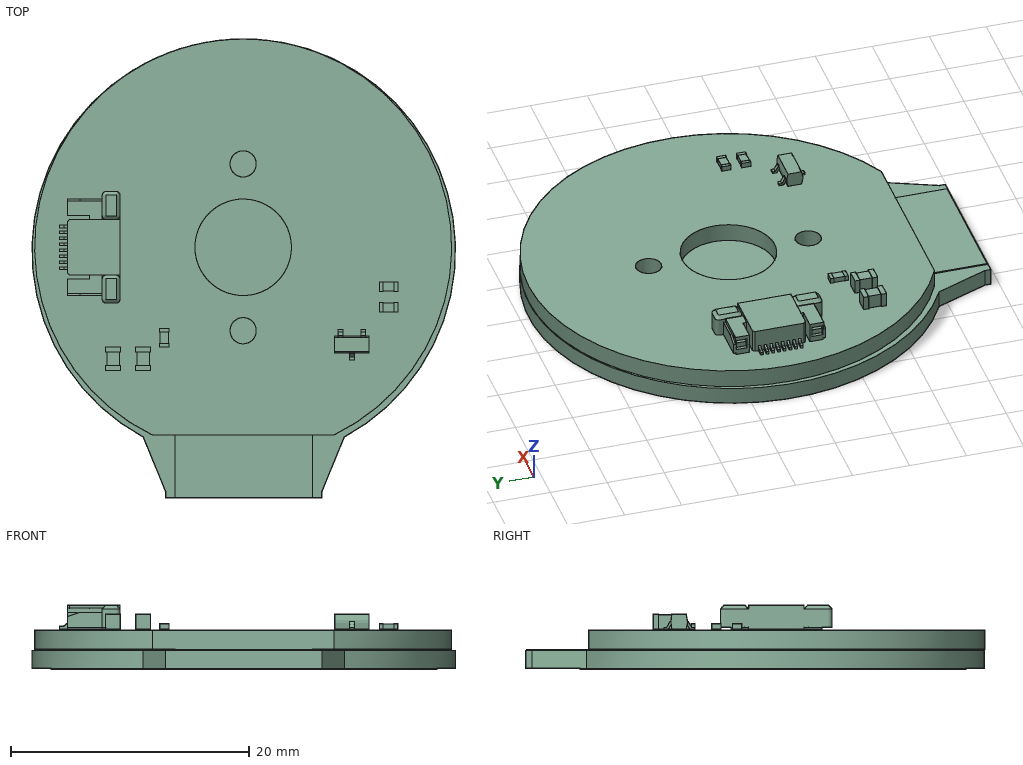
import cadquery as cq
import math

WINDOW_THICKNESS = 0.1
DISPLAY_THICKNESS = 1.5
STRIP_THICKNESS = 0.1
BOARD_THICKNESS = 1.6

DISPLAY_Z = WINDOW_THICKNESS
DISPLAY_TOP = DISPLAY_Z + DISPLAY_THICKNESS
BOARD_Z = DISPLAY_TOP + STRIP_THICKNESS
BOARD_TOP = BOARD_Z + BOARD_THICKNESS
MOUNTING_GAP = 0.1
PART_Z = BOARD_TOP + MOUNTING_GAP

DISPLAY_RADIUS = 35.56 / 2
BOARD_RADIUS = 17.5
DISPLAY_Y = BOARD_RADIUS - DISPLAY_RADIUS
DISPLAY_LENGTH = 38.54
TAB_FRONT = BOARD_RADIUS - DISPLAY_LENGTH
TAB_HALF_WIDTH = 6.56
TAB_ROOT_HALF_WIDTH = 8.44
TAB_STRAIGHT = 0.53
STRIP_WIDTH = 11.52
STRIP_SETBACK = 0.06
WINDOW_DIAMETER = 32.4

BOARD_X = -0.05
BOARD_FLAT_Y = -15.75
CENTRE_HOLE_DIAMETER = 8.1
MOUNT_HOLE_DIAMETER = 2.2
MOUNT_HOLE_SPACING = 14.0

CAPACITOR = (2.0, 1.25, 1.25, 0.45, 0.1)
RESISTOR = (1.55, 0.8, 0.45, 0.3, 0.03)
CAPACITOR_Y = -9.35
CAPACITOR_XS = (-10.97, -8.44)
SINGLE_RESISTOR_XY = (-6.67, -7.6)
PAIRED_RESISTOR_X = 12.15
PAIRED_RESISTOR_YS = (-3.3, -5.04)

TRANSISTOR_XY = (9.08, -8.16)
TRANSISTOR_LENGTH = 2.9
TRANSISTOR_WIDTH = 1.4
TRANSISTOR_HEIGHT = 1.25
TRANSISTOR_TOP_DRAFT = 0.1
TRANSISTOR_WAIST_BOTTOM = 0.5
TRANSISTOR_WAIST_TOP = 0.73
PIN_OFFSET = 0.95
PIN_WIDTH = 0.4
PIN_THICKNESS = 0.15
PIN_REACH = 1.28
PIN_KNEE = 1.05
PIN_SHOULDER = 0.75

CONNECTOR_BACK = -14.8
CONNECTOR_LENGTH = 4.42
CONNECTOR_HEIGHT = 2.0
CORE_HALF_WIDTH = 2.33
CORE_CORNER_CHAMFER = 0.18
LUG_LENGTH = 1.5
LUG_OUTER_Y = 4.69
LUG_CORNER_RADIUS = 0.35
LUG_CHAMFER = 0.3
LUG_GROUND_GAP = 0.15
WING_OUTER_Y = 4.04
WING_TOP_OUTER_Y = 3.87
WING_HEIGHT = 1.75
WING_LEDGE_HEIGHT = 1.4
WING_FOOT_INSET = 0.22
WING_FOOT_HEIGHT = 0.15
WING_RAMP_LENGTH = 1.05
WING_RAMP_DROP = 0.35
SLIT_OUTER_Y = 2.65
SLIT_LENGTH = 1.85
POCKET_INNER_Y = 2.85
POCKET_OUTER_Y = 3.8
POCKET_BOTTOM = 0.5
POCKET_STEP = 0.95
POCKET_TOP = 1.4
POCKET_DEPTH = 0.8
POCKET_STEP_DEPTH = 0.3
LEAD_COUNT = 8
LEAD_PITCH = 0.5
LEAD_WIDTH = 0.22
LEAD_REACH = 0.68
LEAD_FOOT = 0.38
LEAD_FOOT_HEIGHT = 0.25
LEAD_TOP = 0.5


def box(x_range, y_range, z_range):
    """Box between the given limits; the order of each pair does not matter."""
    spans = [sorted(limits) for limits in (x_range, y_range, z_range)]
    sizes = [high - low for low, high in spans]
    corner = tuple(low for low, high in spans)
    return cq.Workplane("XY").box(*sizes, centered=False).translate(corner)


def make_window():
    """Thin round window on the underside of the display."""
    return (
        cq.Workplane("XY")
        .center(0, DISPLAY_Y)
        .circle(WINDOW_DIAMETER / 2)
        .extrude(WINDOW_THICKNESS)
    )


def make_display():
    """Round panel with a tapered tab at -Y and a thin raised strip on the tab."""
    root_y = DISPLAY_Y - math.sqrt(DISPLAY_RADIUS**2 - TAB_ROOT_HALF_WIDTH**2)
    panel = (
        cq.Workplane("XY", origin=(0, 0, DISPLAY_Z))
        .moveTo(TAB_ROOT_HALF_WIDTH, root_y)
        .threePointArc((0, BOARD_RADIUS), (-TAB_ROOT_HALF_WIDTH, root_y))
        .lineTo(-TAB_HALF_WIDTH, TAB_FRONT + TAB_STRAIGHT)
        .lineTo(-TAB_HALF_WIDTH, TAB_FRONT)
        .lineTo(TAB_HALF_WIDTH, TAB_FRONT)
        .lineTo(TAB_HALF_WIDTH, TAB_FRONT + TAB_STRAIGHT)
        .close()
        .extrude(DISPLAY_THICKNESS)
    )
    strip = box(
        (-STRIP_WIDTH / 2, STRIP_WIDTH / 2),
        (TAB_FRONT + STRIP_SETBACK, BOARD_FLAT_Y),
        (DISPLAY_Z, BOARD_Z),
    )
    return panel.union(strip)


def make_board():
    """Round board with a flat at -Y, a centre hole and two mounting holes."""
    flat_half_width = math.sqrt(BOARD_RADIUS**2 - BOARD_FLAT_Y**2)
    return (
        cq.Workplane("XY", origin=(0, 0, BOARD_Z))
        .moveTo(flat_half_width, BOARD_FLAT_Y)
        .threePointArc((0, BOARD_RADIUS), (-flat_half_width, BOARD_FLAT_Y))
        .close()
        .extrude(BOARD_THICKNESS)
        .faces(">Z")
        .workplane(origin=(0, 0, BOARD_TOP))
        .hole(CENTRE_HOLE_DIAMETER)
        .faces(">Z")
        .workplane(origin=(0, 0, BOARD_TOP))
        .pushPoints([(0, MOUNT_HOLE_SPACING / 2), (0, -MOUNT_HOLE_SPACING / 2)])
        .hole(MOUNT_HOLE_DIAMETER)
        .translate((BOARD_X, 0, 0))
    )


def make_chip(size, x, y, turned=False):
    """Chip part: a slightly smaller body between two end caps, lying along Y or, turned, along X."""
    length, width, height, cap, inset = size
    chip = box(
        (-width / 2 + inset, width / 2 - inset),
        (-length / 2, length / 2),
        (0, height - inset / 2),
    )
    for side in (-1, 1):
        end = side * length / 2
        chip = chip.union(box((-width / 2, width / 2), (end, end - side * cap), (0, height)))
    if turned:
        chip = chip.rotate((0, 0, 0), (0, 0, 1), 90)
    return chip.translate((x, y, PART_Z))


def make_transistor_pin(x, side):
    """Gull-wing pin running from the body's waist down to the board on one Y side."""
    waist_bottom = TRANSISTOR_WAIST_BOTTOM
    waist_top = waist_bottom + PIN_THICKNESS
    profile = [
        (0, waist_bottom),
        (PIN_SHOULDER - PIN_THICKNESS, waist_bottom),
        (PIN_KNEE - PIN_THICKNESS, 0),
        (PIN_REACH, 0),
        (PIN_REACH, PIN_THICKNESS),
        (PIN_KNEE, PIN_THICKNESS),
        (PIN_SHOULDER, waist_top),
        (0, waist_top),
    ]
    return (
        cq.Workplane("YZ", origin=(x - PIN_WIDTH / 2, 0, 0))
        .polyline([(side * y, z) for y, z in profile])
        .close()
        .extrude(PIN_WIDTH)
    )


def make_transistor():
    """Three-pin package whose long sides slope inwards above and below the waist."""
    half_width = TRANSISTOR_WIDTH / 2
    narrow_half_width = half_width - TRANSISTOR_TOP_DRAFT
    body = (
        cq.Workplane("YZ", origin=(-TRANSISTOR_LENGTH / 2, 0, 0))
        .polyline(
            [
                (-narrow_half_width, 0),
                (narrow_half_width, 0),
                (half_width, TRANSISTOR_WAIST_BOTTOM),
                (half_width, TRANSISTOR_WAIST_TOP),
                (narrow_half_width, TRANSISTOR_HEIGHT),
                (-narrow_half_width, TRANSISTOR_HEIGHT),
                (-half_width, TRANSISTOR_WAIST_TOP),
                (-half_width, TRANSISTOR_WAIST_BOTTOM),
            ]
        )
        .close()
        .extrude(TRANSISTOR_LENGTH)
    )
    for x, side in ((-PIN_OFFSET, 1), (PIN_OFFSET, 1), (0, -1)):
        body = body.union(make_transistor_pin(x, side))
    return body.translate((*TRANSISTOR_XY, PART_Z))


def make_wing():
    """Side wing on the +Y side: inset foot, ramped ledge, higher top, slit beside the core and a back pocket."""
    wing_end = CONNECTOR_LENGTH - LUG_LENGTH
    ledge = (
        cq.Workplane("XZ", origin=(0, WING_OUTER_Y, 0))
        .polyline(
            [
                (0, WING_FOOT_HEIGHT),
                (wing_end, WING_FOOT_HEIGHT),
                (wing_end, WING_LEDGE_HEIGHT),
                (WING_RAMP_LENGTH, WING_LEDGE_HEIGHT),
                (0, WING_LEDGE_HEIGHT - WING_RAMP_DROP),
            ]
        )
        .close()
        .extrude(WING_OUTER_Y - CORE_HALF_WIDTH)
    )
    foot_outer_y = WING_OUTER_Y - WING_FOOT_INSET
    foot = box((0, wing_end), (CORE_HALF_WIDTH, foot_outer_y), (0, WING_FOOT_HEIGHT))
    top = box((0, wing_end), (CORE_HALF_WIDTH, WING_TOP_OUTER_Y), (POCKET_BOTTOM, WING_HEIGHT))
    slit = box((0, SLIT_LENGTH), (CORE_HALF_WIDTH, SLIT_OUTER_Y), (0, WING_HEIGHT))
    pocket_y = (POCKET_INNER_Y, POCKET_OUTER_Y)
    low_pocket = box((0, POCKET_STEP_DEPTH), pocket_y, (POCKET_BOTTOM, POCKET_STEP))
    high_pocket = box((0, POCKET_DEPTH), pocket_y, (POCKET_STEP, POCKET_TOP))
    return ledge.union(foot).union(top).cut(slit).cut(low_pocket).cut(high_pocket)


def make_lug():
    """Rounded, chamfered end lug on the +Y side, with a narrow bridge to the core."""
    lug_x = (CONNECTOR_LENGTH - LUG_LENGTH, CONNECTOR_LENGTH)
    lug = (
        box(lug_x, (CORE_HALF_WIDTH, LUG_OUTER_Y), (LUG_GROUND_GAP, CONNECTOR_HEIGHT))
        .edges("|Z")
        .fillet(LUG_CORNER_RADIUS)
        .faces(">Z")
        .chamfer(LUG_CHAMFER)
    )
    bridge = box(
        (lug_x[0] + LUG_CORNER_RADIUS, lug_x[1]),
        (CORE_HALF_WIDTH, CORE_HALF_WIDTH + LUG_CORNER_RADIUS),
        (LUG_GROUND_GAP, CONNECTOR_HEIGHT - LUG_CHAMFER),
    )
    return lug.union(bridge)


def make_lead(y):
    """Flat solder foot that slopes up into the back of the connector."""
    return (
        cq.Workplane("XZ", origin=(0, y + LEAD_WIDTH / 2, 0))
        .polyline(
            [
                (0, 0),
                (-LEAD_REACH, 0),
                (-LEAD_REACH, LEAD_FOOT_HEIGHT),
                (LEAD_FOOT - LEAD_REACH, LEAD_FOOT_HEIGHT),
                (0, LEAD_TOP),
            ]
        )
        .close()
        .extrude(LEAD_WIDTH)
    )


def make_connector():
    """Flat-cable connector: core, two wings, two lugs and a row of leads along its back."""
    connector = box(
        (0, CONNECTOR_LENGTH),
        (-CORE_HALF_WIDTH, CORE_HALF_WIDTH),
        (0, CONNECTOR_HEIGHT),
    )
    connector = connector.edges("|Z and <X").chamfer(CORE_CORNER_CHAMFER)
    side = make_wing().union(make_lug())
    connector = connector.union(side).union(side.mirror("XZ"))
    for index in range(LEAD_COUNT):
        lead_y = (index - (LEAD_COUNT - 1) / 2) * LEAD_PITCH
        connector = connector.union(make_lead(lead_y))
    return connector.translate((CONNECTOR_BACK, 0, PART_Z))


window = make_window()
display = make_display()
board = make_board()
connector = make_connector()
transistor = make_transistor()
capacitors = [make_chip(CAPACITOR, x, CAPACITOR_Y) for x in CAPACITOR_XS]
single_resistor = make_chip(RESISTOR, *SINGLE_RESISTOR_XY)
paired_resistors = [
    make_chip(RESISTOR, PAIRED_RESISTOR_X, y, turned=True) for y in PAIRED_RESISTOR_YS
]

result = cq.Compound.makeCompound(
    [
        window.val(),
        display.val(),
        board.val(),
        connector.val(),
        transistor.val(),
        *[capacitor.val() for capacitor in capacitors],
        single_resistor.val(),
        *[resistor.val() for resistor in paired_resistors],
    ]
)